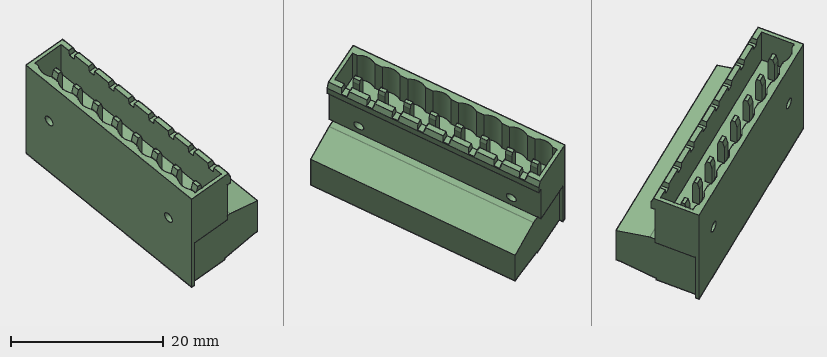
import cadquery as cq

length = 31.8
height = 17.6
depth = 12.3

pin_count = 8
pitch = 3.82
pin_width = 1.0
pin_front = 2.75
pin_back = 3.72
pin_top = 16.03
pin_front_bevel = 0.3
pin_front_bevel_height = 1.05
pin_back_bevel = 0.2
pin_back_bevel_height = 0.7

end_wall = 0.55
front_wall = 1.1
back_wall = 0.57
shell_back = 6.4
lip_back = 6.95
lip_top_back = 6.58
lip_height = 2.2
lip_bevel_height = 1.0
cavity_floor = 11.77

block_front = 0.55
block_top = 8.45
block_top_edge = 7.38
block_back_top = 7.2
block_back_bottom = 1.05
block_taper_start = 11.58
block_step_y = 6.5
block_step_z = 0.3

scallop_width = 2.67
scallop_depth = 0.4

notch_top_width = 1.15
notch_bottom_width = 0.85
notch_depth = 0.85

hole_diameter = 1.5
hole_height = 10.18
hole_spacing = 6 * pitch

inner_length = length - 2 * end_wall
cavity_back = shell_back - back_wall
pin_positions = [(i - (pin_count - 1) / 2) * pitch for i in range(pin_count)]


def extrude_along_x(points, width):
    """Extrude a (Y, Z) outline symmetrically about X = 0."""
    return cq.Workplane("YZ").polyline(points).close().extrude(width / 2, both=True)


def make_shell():
    """Full-length wall profile: front plate, raised socket and latch lip."""
    outline = [
        (0, 0),
        (block_front, 0),
        (block_front, block_top),
        (shell_back, block_top),
        (shell_back, height - lip_height),
        (lip_back, height - lip_height),
        (lip_back, height - lip_bevel_height),
        (lip_top_back, height),
        (0, height),
    ]
    return extrude_along_x(outline, length)


def make_block():
    """Lower block, tapering towards its back face above and below."""
    outline = [
        (block_front, 0),
        (block_step_y, 0),
        (block_step_y, block_step_z),
        (block_taper_start, block_back_bottom),
        (depth, block_back_bottom),
        (depth, block_back_top),
        (block_top_edge, block_top),
        (block_front, block_top),
    ]
    return extrude_along_x(outline, inner_length)


def make_cavity():
    """Socket opening whose front side bulges into the front wall at each pin."""
    outline = cq.Workplane("XY", origin=(0, 0, cavity_floor)).moveTo(-inner_length / 2, front_wall)
    for x in pin_positions:
        outline = outline.lineTo(x - scallop_width / 2, front_wall)
        outline = outline.threePointArc(
            (x, front_wall - scallop_depth), (x + scallop_width / 2, front_wall)
        )
    outline = outline.lineTo(inner_length / 2, front_wall)
    outline = outline.lineTo(inner_length / 2, cavity_back).lineTo(-inner_length / 2, cavity_back)
    return outline.close().extrude(height - cavity_floor)


def make_notch(x):
    """Keying notch at x, narrowing downwards and cut through the back rim."""
    bottom = height - notch_depth
    outline = [
        (x - notch_top_width / 2, height),
        (x - notch_bottom_width / 2, bottom),
        (x + notch_bottom_width / 2, bottom),
        (x + notch_top_width / 2, height),
    ]
    plane = cq.Workplane("XZ", origin=(0, cavity_back, 0))
    return plane.polyline(outline).close().extrude(cavity_back - lip_back)


def make_pin(x):
    """Pin at x, standing on the cavity floor."""
    outline = [
        (pin_front, cavity_floor),
        (pin_front, pin_top - pin_front_bevel_height),
        (pin_front + pin_front_bevel, pin_top),
        (pin_back - pin_back_bevel, pin_top),
        (pin_back, pin_top - pin_back_bevel_height),
        (pin_back, cavity_floor),
    ]
    return extrude_along_x(outline, pin_width).translate((x, 0, 0))


def make_cross_holes():
    centers = [(-hole_spacing / 2, hole_height), (hole_spacing / 2, hole_height)]
    return cq.Workplane("XZ").pushPoints(centers).circle(hole_diameter / 2).extrude(-depth)


result = make_shell().union(make_block()).cut(make_cavity())
for x in pin_positions:
    result = result.cut(make_notch(x)).union(make_pin(x))
result = result.cut(make_cross_holes())